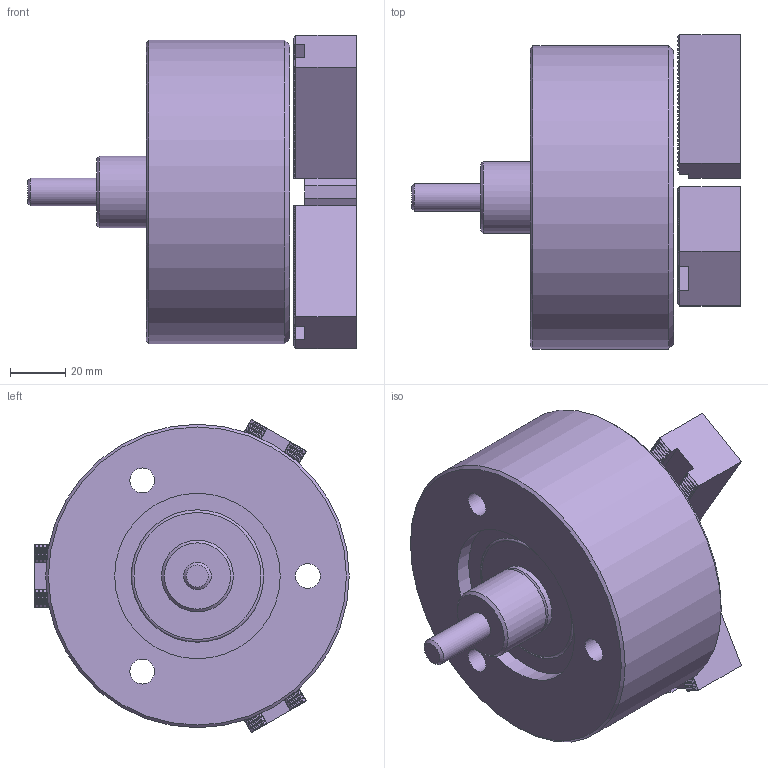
import cadquery as cq
import math

rod_length = 25.0
sleeve_front_overhang = 18.0
housing_length = 52.0
jaw_gap = 1.45
tooth_height = 0.75
jaw_height = 22.0

housing_front = rod_length + sleeve_front_overhang
housing_back = housing_front + housing_length
tooth_tip_x = housing_back + jaw_gap
tooth_root_x = tooth_tip_x + tooth_height
jaw_back = tooth_root_x + jaw_height

housing_radius = 55.0
housing_front_chamfer = 1.0
housing_back_chamfer = 1.8
recess_radius = 30.0
recess_depth = 5.8
mounting_hole_diameter = 9.0
mounting_hole_circle_radius = 40.0
mounting_hole_count = 3

recess_floor = housing_front + recess_depth

disc_radius = 24.0
disc_fillet = 1.0
disc_proud = 0.3
disc_thickness = 10.0
boss_length = 3.0
boss_chamfer = 1.0

disc_front = recess_floor - disc_proud
disc_back = disc_front + disc_thickness
boss_front = disc_front - boss_length

sleeve_radius = 13.0
sleeve_chamfer = 1.0
rod_radius = 5.0
rod_chamfer = 1.0

jaw_count = 3
jaw_step = 360.0 / jaw_count
jaw_width = 22.98
jaw_outer_radius = 58.93
jaw_tip_radius = 7.0
jaw_face_offset = 4.9
slot_width = 9.7
slot_depth = 3.3

tooth_pitch = 1.5
tooth_tip_width = 0.45
tooth_flank_angle = 60.0
tooth_end_slope = 0.9
tooth_end_inset = 0.15

tooth_flank = tooth_height / math.tan(math.radians(tooth_flank_angle))
tooth_base_width = tooth_tip_width + 2 * tooth_flank


def cylinder(radius, start, end):
    """Cylinder on the X axis from start to end."""
    return cq.Workplane("YZ").workplane(offset=start).circle(radius).extrude(end - start)


def make_housing():
    body = cylinder(housing_radius, housing_front, housing_back)
    body = body.faces("<X").chamfer(housing_front_chamfer)
    body = body.faces(">X").chamfer(housing_back_chamfer)
    recess = cylinder(recess_radius, housing_front, recess_floor)
    hub_seat = cylinder(disc_radius, recess_floor, disc_back)
    mounting_holes = (
        cq.Workplane("YZ")
        .workplane(offset=housing_front)
        .polarArray(mounting_hole_circle_radius, 180, 360, mounting_hole_count)
        .circle(mounting_hole_diameter / 2)
        .extrude(housing_length)
    )
    return body.cut(recess).cut(hub_seat).cut(mounting_holes)


def make_hub():
    disc = cylinder(disc_radius, disc_front, disc_back).faces("<X").edges().fillet(disc_fillet)
    boss = cylinder(sleeve_radius, boss_front, disc_back).faces("<X").chamfer(boss_chamfer)
    return disc.union(boss)


def make_sleeve():
    return cylinder(sleeve_radius, rod_length, boss_front).faces("<X").chamfer(sleeve_chamfer)


def make_rod():
    return cylinder(rod_radius, 0, rod_length).faces("<X").chamfer(rod_chamfer)


def jaw_plan():
    """Outline along X: a bar along +Y with a point whose sides face the other jaws."""
    half_step = math.radians(jaw_step / 2)
    half_width = jaw_width / 2
    shoulder_radius = (jaw_face_offset + half_width * math.cos(half_step)) / math.sin(half_step)
    tip_half_width = (jaw_tip_radius * math.sin(half_step) - jaw_face_offset) / math.cos(half_step)
    outline = [
        (jaw_outer_radius, -half_width),
        (jaw_outer_radius, half_width),
        (shoulder_radius, half_width),
        (jaw_tip_radius, tip_half_width),
        (jaw_tip_radius, -tip_half_width),
        (shoulder_radius, -half_width),
    ]
    return (
        cq.Workplane("YZ")
        .workplane(offset=tooth_tip_x)
        .polyline(outline)
        .close()
        .extrude(jaw_back - tooth_tip_x)
    )


def jaw_comb():
    """Side profile with the row of teeth, extruded across the jaw width."""
    tooth_count = math.ceil((jaw_outer_radius - jaw_tip_radius) / tooth_pitch)
    inner_end = jaw_outer_radius - tooth_count * tooth_pitch
    outline = [(jaw_back, jaw_outer_radius), (tooth_root_x, jaw_outer_radius)]
    for i in range(tooth_count):
        center = jaw_outer_radius - (i + 0.5) * tooth_pitch
        outline.append((tooth_root_x, center + tooth_base_width / 2))
        outline.append((tooth_tip_x, center + tooth_tip_width / 2))
        outline.append((tooth_tip_x, center - tooth_tip_width / 2))
        outline.append((tooth_root_x, center - tooth_base_width / 2))
    outline += [(tooth_root_x, inner_end), (jaw_back, inner_end)]
    return cq.Workplane("XY").polyline(outline).close().extrude(jaw_width / 2, both=True)


def jaw_section():
    """Cross section with the middle slot and the sloped tooth ends, extruded along the jaw."""
    outer = jaw_width / 2
    inner = slot_width / 2
    end_run = tooth_end_inset + tooth_end_slope
    slot_floor_x = tooth_root_x + slot_depth
    half = [
        (jaw_back, outer),
        (tooth_root_x, outer),
        (tooth_root_x, outer - tooth_end_inset),
        (tooth_tip_x, outer - end_run),
        (tooth_tip_x, inner + end_run),
        (tooth_root_x, inner + tooth_end_inset),
        (tooth_root_x, inner),
        (slot_floor_x, inner),
    ]
    mirrored = [(x, -z) for x, z in reversed(half)]
    return cq.Workplane("XZ").polyline(half + mirrored).close().extrude(-jaw_outer_radius)


def make_jaw():
    """Jaw pointing along +Y."""
    return jaw_plan().intersect(jaw_comb()).intersect(jaw_section())


housing = make_housing()
hub = make_hub()
sleeve = make_sleeve()
rod = make_rod()
jaws = [make_jaw().rotate((0, 0, 0), (1, 0, 0), i * jaw_step) for i in range(jaw_count)]

result = cq.Compound.makeCompound(
    [housing.val(), hub.val(), sleeve.val(), rod.val(), *[jaw.val() for jaw in jaws]]
)